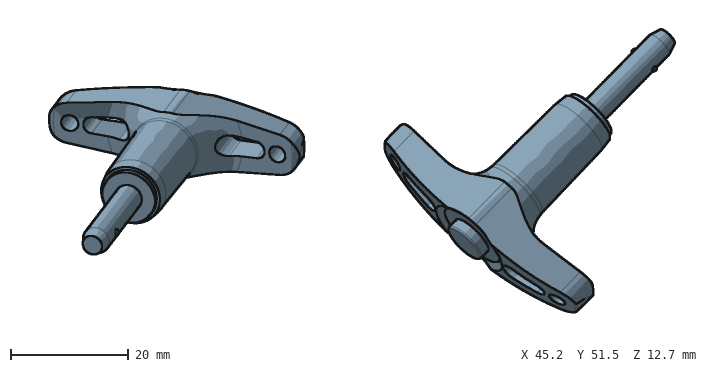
import cadquery as cq
import math

CHAMFER_LENGTH = 2.0
BALL_Y = 5.9
COLLAR_Y = 19.35
COLLAR_LENGTH = 1.0
GRIP_Y = COLLAR_Y + COLLAR_LENGTH
GRIP_TAPER_Y = 22.7
GRIP_TOP_Y = 38.0
FLARE_Y = 38.75
UNDERSIDE_Y = 43.9
DISH_Y = 49.5
CREST_Y = 50.25
TOTAL_LENGTH = 51.55

PIN_TIP_RADIUS = 1.75
PIN_RADIUS = 2.35
COLLAR_RADIUS = 4.75
GRIP_END_RADIUS = 5.3
GRIP_LOW_RADIUS = 5.55
GRIP_TOP_RADIUS = 5.85
FLARE_START_RADIUS = 5.95
FLARE_END_RADIUS = 12.2
BUTTON_RADIUS = 3.8
BUTTON_FILLET = 0.3

BALL_RADIUS = 0.7
BALL_REACH = 2.75

HUB_RADIUS = 6.35
TIP_RADIUS = 3.85
ARM_REACH = 22.6
TIP_X = ARM_REACH - TIP_RADIUS

DISH_RADIUS = 6.35
CREST_RADIUS = 7.65
DOME_RADIUS = 14.45
DOME_Y = 49.45
SHOULDER_RADIUS = 22.2
SHOULDER_Y = 47.45
RIM_RADIUS = 22.75
RIM_Y = 42.8
LOWER_EDGE_FILLET = 1.0
UPPER_EDGE_FILLET = 0.3

HOLE_RADIUS = 1.5
SLOT_INNER_X = 9.75
SLOT_INNER_RADIUS = 1.95
SLOT_OUTER_X = 14.8
SLOT_OUTER_RADIUS = 1.55


def tapered_bar(x_a, radius_a, x_b, radius_b):
    """Two circles joined by their common tangents, extruded along +Y over the full length."""
    sine = (radius_a - radius_b) / (x_b - x_a)
    cosine = math.sqrt(1 - sine**2)
    a = (x_a + radius_a * sine, radius_a * cosine)
    b = (x_b + radius_b * sine, radius_b * cosine)
    return (
        cq.Workplane("XZ")
        .moveTo(*a)
        .lineTo(*b)
        .threePointArc((x_b + radius_b, 0), (b[0], -b[1]))
        .lineTo(a[0], -a[1])
        .threePointArc((x_a - radius_a, 0), a)
        .close()
        .extrude(-TOTAL_LENGTH)
    )


def both_sides(solid):
    return solid.union(solid.mirror("YZ"))


def handle_blank():
    """Domed, dished top and trumpet-shaped underside, turned about the pin axis."""
    blend = math.sqrt(0.5)
    flare_middle = (
        FLARE_END_RADIUS - (FLARE_END_RADIUS - FLARE_START_RADIUS) * blend,
        FLARE_Y + (UNDERSIDE_Y - FLARE_Y) * blend,
    )
    blank = (
        cq.Workplane("XY")
        .moveTo(0, FLARE_Y)
        .lineTo(FLARE_START_RADIUS, FLARE_Y)
        .threePointArc(flare_middle, (FLARE_END_RADIUS, UNDERSIDE_Y))
        .lineTo(RIM_RADIUS, RIM_Y)
        .lineTo(SHOULDER_RADIUS, SHOULDER_Y)
        .threePointArc((DOME_RADIUS, DOME_Y), (CREST_RADIUS, CREST_Y))
        .lineTo(DISH_RADIUS, DISH_Y)
        .lineTo(0, DISH_Y)
        .close()
        .revolve(360, (0, 0), (0, 1))
    )
    shoulder = cq.selectors.NearestToPointSelector((0, SHOULDER_Y, 0))
    rim = cq.selectors.NearestToPointSelector((0, RIM_Y, 0))
    blank = blank.edges(shoulder).fillet(UPPER_EDGE_FILLET)
    return blank.edges(rim).fillet(LOWER_EDGE_FILLET)


def handle():
    plan = both_sides(tapered_bar(0, HUB_RADIUS, TIP_X, TIP_RADIUS))
    body = handle_blank().intersect(plan)
    slot = tapered_bar(SLOT_INNER_X, SLOT_INNER_RADIUS, SLOT_OUTER_X, SLOT_OUTER_RADIUS)
    hole = cq.Workplane("XZ").center(TIP_X, 0).circle(HOLE_RADIUS).extrude(-TOTAL_LENGTH)
    return body.cut(both_sides(slot)).cut(both_sides(hole))


def stem():
    """Pin, collar and tapered grip as one turned body."""
    outline = [
        (0, 0),
        (PIN_TIP_RADIUS, 0),
        (PIN_RADIUS, CHAMFER_LENGTH),
        (PIN_RADIUS, COLLAR_Y),
        (COLLAR_RADIUS, COLLAR_Y),
        (COLLAR_RADIUS, GRIP_Y),
        (GRIP_END_RADIUS, GRIP_Y),
        (GRIP_LOW_RADIUS, GRIP_TAPER_Y),
        (GRIP_TOP_RADIUS, GRIP_TOP_Y),
        (FLARE_START_RADIUS, FLARE_Y),
        (0, FLARE_Y),
    ]
    return cq.Workplane("XY").polyline(outline).close().revolve(360, (0, 0), (0, 1))


def button():
    return (
        cq.Workplane("XZ", origin=(0, UNDERSIDE_Y, 0))
        .circle(BUTTON_RADIUS)
        .extrude(UNDERSIDE_Y - TOTAL_LENGTH)
        .faces(">Y")
        .edges()
        .fillet(BUTTON_FILLET)
    )


def balls():
    ball = cq.Workplane("XY").sphere(BALL_RADIUS)
    return both_sides(ball.translate((BALL_REACH - BALL_RADIUS, BALL_Y, 0)))


result = stem().union(handle()).union(button()).union(balls())